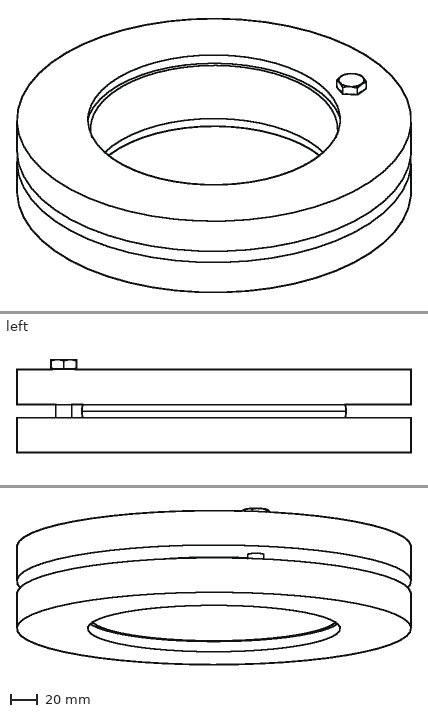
import cadquery as cq
import math

flange_diameter = 295.0
bore_mouth_diameter = 188.8
flange_thickness = 26.3
flange_gap = 9.7
stack_height = 2 * flange_thickness + flange_gap
mid_height = stack_height / 2
upper_flange_base = flange_thickness + flange_gap

ring_bore_diameter = 185.0
ring_ridge_diameter = 198.2
ring_end_recess = 8.0
ring_half_height = mid_height - ring_end_recess

cone_slope = (ring_ridge_diameter - bore_mouth_diameter) / 2 / mid_height
ring_end_radius = ring_ridge_diameter / 2 - ring_half_height * cone_slope

bolt_offset = 112.5
shank_diameter = 12.0
shank_depth_in_lower_flange = 17.7
shank_base = flange_thickness - shank_depth_in_lower_flange
head_total_height = 7.5
washer_face_diameter = 17.0
washer_face_height = 0.5
hexagon_height = head_total_height - washer_face_height
head_across_flats = 19.2
head_across_corners = head_across_flats / math.cos(math.pi / 6)
head_top_diameter = 19.0
head_chamfer_angle = 30.0
head_chamfer_width = (head_across_corners - head_top_diameter) / 2
head_chamfer_height = head_chamfer_width * math.tan(math.radians(head_chamfer_angle))


def make_sealing_ring():
    """Ring with a plain bore and an outside that tapers both ways from a middle ridge."""
    bore_radius = ring_bore_diameter / 2
    bottom = mid_height - ring_half_height
    top = mid_height + ring_half_height
    return (
        cq.Workplane("XZ")
        .moveTo(bore_radius, bottom)
        .lineTo(ring_end_radius, bottom)
        .lineTo(ring_ridge_diameter / 2, mid_height)
        .lineTo(ring_end_radius, top)
        .lineTo(bore_radius, top)
        .close()
        .revolve(360, (0, 0, 0), (0, 1, 0))
    )


def make_bolt_head():
    """Hexagon with its corners along X and its top corners chamfered by a cone."""
    hexagon = cq.Workplane("XY").polygon(6, head_across_corners).extrude(hexagon_height)
    chamfer_envelope = (
        cq.Workplane("XY")
        .circle(head_across_corners / 2)
        .extrude(hexagon_height)
        .faces(">Z")
        .chamfer(head_chamfer_height, head_chamfer_width)
    )
    hexagon_base = stack_height + washer_face_height
    return hexagon.intersect(chamfer_envelope).translate((0, bolt_offset, hexagon_base))


def make_bolt():
    """Hexagon head on a thin washer face, with a shank down into the lower flange."""
    washer_face = (
        cq.Workplane("XY", origin=(0, bolt_offset, stack_height))
        .circle(washer_face_diameter / 2)
        .extrude(washer_face_height)
    )
    shank = (
        cq.Workplane("XY", origin=(0, bolt_offset, shank_base))
        .circle(shank_diameter / 2)
        .extrude(stack_height - shank_base)
    )
    return make_bolt_head().union(washer_face).union(shank)


def make_bore_cones():
    """Double cone that shapes both flange bores, widest at the middle height."""
    mouth_radius = bore_mouth_diameter / 2
    return (
        cq.Workplane("XZ")
        .lineTo(mouth_radius, 0)
        .lineTo(ring_ridge_diameter / 2, mid_height)
        .lineTo(mouth_radius, stack_height)
        .lineTo(0, stack_height)
        .close()
        .revolve(360, (0, 0, 0), (0, 1, 0))
    )


def make_flange(base, bolt):
    """Flange with a conical bore that seats the ring, and a bolt hole."""
    return (
        cq.Workplane("XY", origin=(0, 0, base))
        .circle(flange_diameter / 2)
        .extrude(flange_thickness)
        .cut(make_bore_cones())
        .cut(bolt)
    )


sealing_ring = make_sealing_ring()
bolt = make_bolt()
flanges = [make_flange(base, bolt) for base in (0, upper_flange_base)]

result = cq.Compound.makeCompound(
    [
        *[flange.solids().val() for flange in flanges],
        sealing_ring.solids().val(),
        bolt.solids().val(),
    ]
)